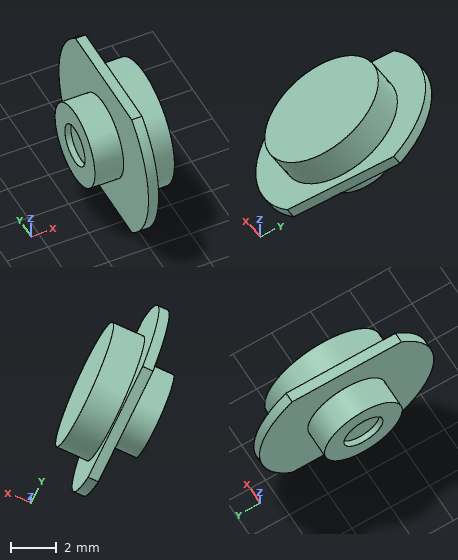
import cadquery as cq

flange_diameter = 8.97
flange_across_flats = 7.0
flange_thickness = 0.5

small_boss_diameter = 4.0
small_boss_length = 1.4
large_boss_diameter = 6.0
large_boss_length = 1.5

recess_diameter = 2.0
recess_depth = 0.3

small_boss_end = -small_boss_length


def cylinder_along_x(diameter, start, length):
    """Solid cylinder on the X axis, growing from start towards +X."""
    return cq.Workplane("YZ", origin=(start, 0, 0)).circle(diameter / 2).extrude(length)


def flatted_flange():
    """Disc trimmed to flats at the top and bottom."""
    disc = cylinder_along_x(flange_diameter, 0, flange_thickness)
    band = cq.Workplane("YZ").rect(flange_diameter, flange_across_flats).extrude(flange_thickness)
    return disc.intersect(band)


small_boss = cylinder_along_x(small_boss_diameter, small_boss_end, small_boss_length)
large_boss = cylinder_along_x(large_boss_diameter, flange_thickness, large_boss_length)
recess = cylinder_along_x(recess_diameter, small_boss_end, recess_depth)

result = flatted_flange().union(small_boss).union(large_boss).cut(recess)